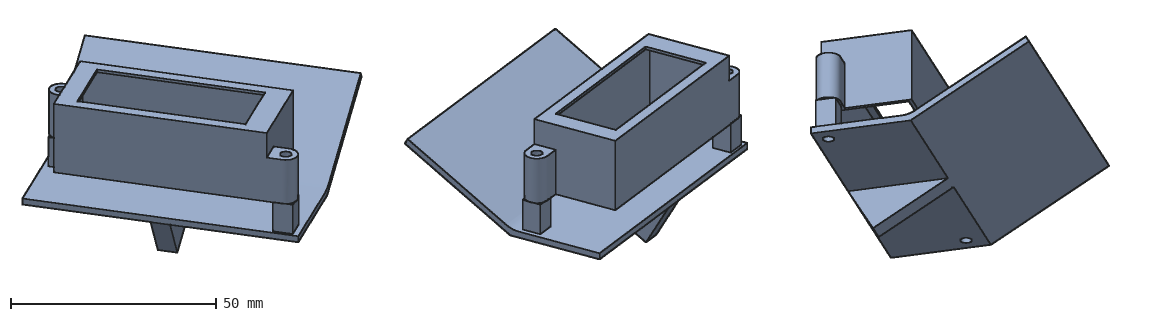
import cadquery as cq
import math

plate_width = 70.0
plate_depth = 55.4
sheet_thickness = 1.7
bend_angle = math.radians(30)
bend_start_y = 23.0
bend_inner_radius = 7.0

rib_width = 5.0

total_height = 39.8
housing_length = 54.05
housing_depth = 22.95
housing_center_x = -0.1
housing_front_y = 0.3
wall_thickness = 1.0
roof_thickness = 0.8
window_length = 42.6
window_depth = 17.1
window_offset_x = -0.55

ear_radius = 3.0
ear_height = 12.1
ear_reach = 3.9
screw_hole_diameter = 2.8

post_side = 5.05
post_height = 8.05
post_clearance = 0.2

sin_bend = math.sin(bend_angle)
cos_bend = math.cos(bend_angle)
outer_corner_y = bend_start_y + (bend_inner_radius + sheet_thickness) * math.tan(bend_angle / 2)
rib_tip_y = outer_corner_y * sin_bend**2
rib_tip_z = -outer_corner_y * sin_bend * cos_bend
housing_bottom_z = sheet_thickness + post_height + post_clearance
housing_height = total_height + rib_tip_z - housing_bottom_z
housing_center_y = housing_front_y + housing_depth / 2
ear_offset_x = housing_length / 2 + ear_reach
ear_offset_y = housing_depth / 2 - ear_radius

EAR_SIDES = (-1, 1)


def ear_center(side):
    """X and Y of the screw axis of one ear."""
    return housing_center_x + side * ear_offset_x, housing_center_y - side * ear_offset_y


def block(length, depth, height, center_x, center_y, bottom_z):
    """Upright box placed by the center of its bottom face."""
    box = cq.Workplane("XY").box(length, depth, height, centered=(True, True, False))
    return box.translate((center_x, center_y, bottom_z))


def screw_hole(side, bottom_z, height):
    """Cutter for the screw hole of one ear or post."""
    center_x, center_y = ear_center(side)
    cutter = cq.Workplane("XY").circle(screw_hole_diameter / 2).extrude(height)
    return cutter.translate((center_x, center_y, bottom_z))


def bend_arc_point(angle):
    """Y and Z on the inner bend, at an angle from where the bend starts."""
    y = bend_start_y + bend_inner_radius * math.sin(angle)
    z = sheet_thickness + bend_inner_radius * (1 - math.cos(angle))
    return y, z


def bent_plate():
    """Bent sheet with a sharp outer corner and a rounded inner one."""
    wing_lower_end = (plate_depth, (plate_depth - outer_corner_y) * math.tan(bend_angle))
    wing_upper_end = (
        wing_lower_end[0] - sheet_thickness * sin_bend,
        wing_lower_end[1] + sheet_thickness * cos_bend,
    )
    sheet = (
        cq.Workplane("YZ")
        .moveTo(0, 0)
        .lineTo(outer_corner_y, 0)
        .lineTo(*wing_lower_end)
        .lineTo(*wing_upper_end)
        .lineTo(*bend_arc_point(bend_angle))
        .threePointArc(bend_arc_point(bend_angle / 2), (bend_start_y, sheet_thickness))
        .lineTo(0, sheet_thickness)
        .close()
        .extrude(plate_width / 2, both=True)
    )
    for side in EAR_SIDES:
        sheet = sheet.cut(screw_hole(side, 0, sheet_thickness))
    return sheet


def rib():
    """Right-angled triangular rib whose long edge continues the underside of the wing."""
    outline = [(0, 0), (outer_corner_y, 0), (rib_tip_y, rib_tip_z)]
    return cq.Workplane("YZ").polyline(outline).close().extrude(rib_width / 2, both=True)


def ear(side):
    """Rounded ear that joins the end wall of the housing."""
    center_x, center_y = ear_center(side)
    round_end = cq.Workplane("XY").circle(ear_radius).extrude(ear_height)
    round_end = round_end.translate((center_x, center_y, housing_bottom_z))
    web_center_x = center_x - side * ear_reach / 2
    web = block(ear_reach, 2 * ear_radius, ear_height, web_center_x, center_y, housing_bottom_z)
    return round_end.union(web)


def make_housing():
    """Hollow housing with a roof window and two drilled ears."""
    shell = block(
        housing_length, housing_depth, housing_height, housing_center_x, housing_center_y, housing_bottom_z
    )
    cavity = block(
        housing_length - 2 * wall_thickness,
        housing_depth - 2 * wall_thickness,
        housing_height - roof_thickness,
        housing_center_x,
        housing_center_y,
        housing_bottom_z,
    )
    window = block(
        window_length,
        window_depth,
        housing_height,
        housing_center_x + window_offset_x,
        housing_center_y,
        housing_bottom_z,
    )
    for side in EAR_SIDES:
        shell = shell.union(ear(side))
    shell = shell.cut(cavity).cut(window)
    for side in EAR_SIDES:
        shell = shell.cut(screw_hole(side, housing_bottom_z, ear_height))
    return shell


def make_post(side):
    """Square spacer post with a screw hole, standing on the plate."""
    post = block(post_side, post_side, post_height, *ear_center(side), sheet_thickness)
    return post.cut(screw_hole(side, sheet_thickness, post_height))


base_plate = bent_plate().union(rib())
housing = make_housing()
posts = [make_post(side) for side in EAR_SIDES]

result = cq.Compound.makeCompound([base_plate.val(), housing.val(), *[post.val() for post in posts]])